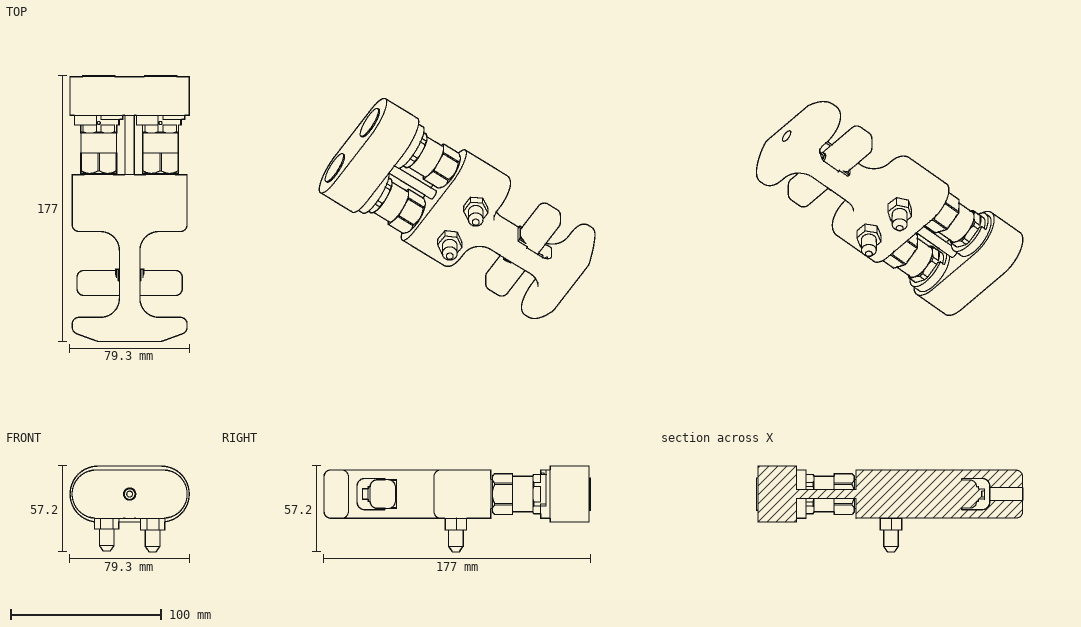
import cadquery as cq
import math

LENGTH = 177.0
TOTAL_HEIGHT = 57.2

BLOCK_WIDTH = 79.3
BLOCK_HEIGHT = 37.4
BLOCK_FRONT = 150.3
BLOCK_BACK = 176.2
CAP_RADIUS = 10.8

COUPLING_OFFSET = 20.5
COLLAR_RADIUS = 16.1
COLLAR_FRONT = 144.0
GROOVE_BACK = 147.7
GROOVE_END_ANGLE = -30.0
KEYWAY_WIDTH = 3.2
BALL_RADIUS = 1.0
BALL_Y = 145.3
HEX_FLATS = 24.0
HEX_CORNER_ANGLE = 30.0
LOCK_HEX_RADIUS = 13.1
LOCK_HEX_CHAMFER = 0.7
SLEEVE_BACK = 138.8
SLEEVE_RADIUS = 11.9
NUT_BACK = 125.3
NUT_FRONT = 111.9
NUT_RADIUS = 13.6
NUT_CHAMFER = 1.6
NECK_RADIUS = 9.7
ROD_RADIUS = 3.2

BODY_WIDTH = 76.5
BODY_HEIGHT = 32.2
BODY_BACK = 111.0
BODY_FRONT = 73.1
WEB_THICKNESS = 13.8
WEB_CORNER_RADIUS = 12.4
HANDLE_BACK = 16.3
HANDLE_FLAT_WIDTH = 41.6
HANDLE_TAPER = 20.0
HANDLE_CORNER_RADIUS = 5.3
EDGE_FILLET = 4.6
SCREW_HOLE_RADIUS = 4.0

WINDOW_FRONT = 22.1
WINDOW_BACK = 40.5
WINDOW_HEIGHT = 20.5
WINDOW_CORNER_RADIUS = 4.8

BAR_WIDTH = 70.1
BAR_HEIGHT = 19.1
BAR_FRONT = 30.6
BAR_BACK = 47.5
BAR_FILLET = 4.8
CHEEK_GAP = 14.9
CHEEK_WIDTH = 19.1
CHEEK_BACK = 48.2
CHEEK_CHAMFER = 0.7
SCREW_COLLAR_RADIUS = 5.0
SCREW_COLLAR_FRONT = 29.4
SCREW_RADIUS = 3.5
SCREW_FRONT = 25.5
SOCKET_RADIUS = 2.0
SOCKET_DEPTH = 1.8

FITTINGS = [(-15.2, 0.5, 0.0), (15.2, 0.0, 3.0)]
FITTING_Y = 87.6
FITTING_HEX_RADIUS = 8.1
FITTING_HEX_BOTTOM = -23.9
FITTING_STEM_RADIUS = 5.0
FITTING_CONE_TOP = -34.7
FITTING_TIP_RADIUS = 2.3
FITTING_TIP = BLOCK_HEIGHT / 2 - TOTAL_HEIGHT


def section(front, back, x=0.0):
    """Workplane facing -Y at `back`, with the depth to extrude to reach `front`."""
    return cq.Workplane("XZ", origin=(x, back, 0)), back - front


def cylinder(radius, front, back, x=0.0):
    plane, depth = section(front, back, x)
    return plane.circle(radius).extrude(depth)


def hexagon(flats, front, back, x=0.0):
    """Hexagonal prism along Y with two flats facing +X and -X."""
    corner_diameter = flats / math.cos(math.radians(HEX_CORNER_ANGLE))
    plane, depth = section(front, back, x)
    return plane.transformed(rotate=(0, 0, 90)).polygon(6, corner_diameter).extrude(depth)


def obround(width, height, front, back):
    plane, depth = section(front, back)
    return plane.slot2D(width, height).extrude(depth)


def box(width, height, front, back):
    plane, depth = section(front, back)
    return plane.rect(width, height).extrude(depth)


def make_collar(x):
    """Collar with a keyway on top, opening into a groove round its +X side."""
    collar = cylinder(COLLAR_RADIUS, COLLAR_FRONT, BLOCK_FRONT, x)

    reach = 2 * COLLAR_RADIUS
    end = math.radians(GROOVE_END_ANGLE)
    plane, depth = section(COLLAR_FRONT, GROOVE_BACK, x)
    sector = (
        plane.moveTo(0, 0)
        .lineTo(0, reach)
        .lineTo(reach, reach)
        .lineTo(reach, reach * math.tan(end))
        .close()
        .extrude(depth)
    )
    plane, depth = section(COLLAR_FRONT, BLOCK_FRONT, x)
    keyway = plane.center(0, reach / 2).rect(KEYWAY_WIDTH, reach).extrude(depth)
    core = cylinder(LOCK_HEX_RADIUS, COLLAR_FRONT, BLOCK_FRONT, x)
    ball = cq.Workplane("XY", origin=(x, BALL_Y, LOCK_HEX_RADIUS)).sphere(BALL_RADIUS)
    return collar.cut(sector.union(keyway)).union(core).union(ball)


def make_coupling(x):
    lock_rounding = cylinder(LOCK_HEX_RADIUS, SLEEVE_BACK, COLLAR_FRONT, x)
    lock_rounding = lock_rounding.faces("<Y").chamfer(LOCK_HEX_CHAMFER)
    lock_hex = hexagon(HEX_FLATS, SLEEVE_BACK, COLLAR_FRONT, x).intersect(lock_rounding)

    nut_rounding = cylinder(NUT_RADIUS, NUT_FRONT, NUT_BACK, x).faces("<Y").chamfer(NUT_CHAMFER)
    nut = hexagon(HEX_FLATS, NUT_FRONT, NUT_BACK, x).intersect(nut_rounding)

    return (
        cylinder(CAP_RADIUS, BLOCK_BACK, LENGTH, x)
        .union(make_collar(x))
        .union(lock_hex)
        .union(cylinder(SLEEVE_RADIUS, NUT_BACK, SLEEVE_BACK, x))
        .union(nut)
        .union(cylinder(NECK_RADIUS, BODY_BACK, NUT_FRONT, x))
    )


def make_window():
    plane = cq.Workplane("YZ", origin=(-WEB_THICKNESS, 0, 0))
    middle = (WINDOW_FRONT + WINDOW_BACK) / 2
    window = plane.center(middle, 0).rect(WINDOW_BACK - WINDOW_FRONT, WINDOW_HEIGHT)
    window = window.extrude(2 * WEB_THICKNESS)
    return window.faces("<Y").edges("|X").fillet(WINDOW_CORNER_RADIUS)


def make_body():
    half = BODY_WIDTH / 2
    web = WEB_THICKNESS / 2
    arc_end = web + WEB_CORNER_RADIUS
    flat = HANDLE_FLAT_WIDTH / 2
    tip_y = (half - flat) * math.tan(math.radians(HANDLE_TAPER))
    half_profile = (
        cq.Workplane("XY", origin=(0, 0, -BODY_HEIGHT / 2))
        .moveTo(0, 0)
        .lineTo(flat, 0)
        .lineTo(half, tip_y)
        .lineTo(half, HANDLE_BACK)
        .lineTo(arc_end, HANDLE_BACK)
        .radiusArc((web, HANDLE_BACK + WEB_CORNER_RADIUS), WEB_CORNER_RADIUS)
        .lineTo(web, BODY_FRONT - WEB_CORNER_RADIUS)
        .radiusArc((arc_end, BODY_FRONT), WEB_CORNER_RADIUS)
        .lineTo(half, BODY_FRONT)
        .lineTo(half, BODY_BACK)
        .lineTo(0, BODY_BACK)
        .close()
        .extrude(BODY_HEIGHT)
    )
    corner = cq.selectors.NearestToPointSelector((flat, 0, 0))
    half_profile = half_profile.edges(corner).fillet(HANDLE_CORNER_RADIUS)
    profile = half_profile.union(half_profile.mirror("YZ"))

    body = profile.intersect(obround(BODY_WIDTH, BODY_HEIGHT, 0, BODY_BACK))

    front_edges = cq.selectors.BoxSelector(
        (-BODY_WIDTH, -EDGE_FILLET, -BODY_HEIGHT),
        (BODY_WIDTH, BODY_FRONT + EDGE_FILLET, BODY_HEIGHT),
    )
    upright_edges = cq.selectors.ParallelDirSelector(cq.Vector(0, 0, 1))
    body = body.edges(front_edges - upright_edges).fillet(EDGE_FILLET)
    return body.cut(make_window()).cut(cylinder(SCREW_HOLE_RADIUS, 0, WINDOW_FRONT))


def make_crossbar():
    bar = box(BAR_WIDTH, BAR_HEIGHT, BAR_FRONT, BAR_BACK).edges().fillet(BAR_FILLET)
    cheeks = box(CHEEK_WIDTH, BAR_HEIGHT, WINDOW_BACK, CHEEK_BACK).edges("|Y").chamfer(CHEEK_CHAMFER)
    web_slot = box(CHEEK_GAP, 2 * BAR_HEIGHT, WINDOW_BACK, LENGTH)
    socket = cylinder(SOCKET_RADIUS, SCREW_FRONT, SCREW_FRONT + SOCKET_DEPTH)
    return (
        bar.union(cheeks)
        .cut(web_slot)
        .union(cylinder(SCREW_COLLAR_RADIUS, SCREW_COLLAR_FRONT, BAR_FRONT))
        .union(cylinder(SCREW_RADIUS, SCREW_FRONT, SCREW_COLLAR_FRONT))
        .cut(socket)
    )


def make_fitting(x, rise, turn):
    half_outline = [
        (0, 0),
        (FITTING_STEM_RADIUS, 0),
        (FITTING_STEM_RADIUS, FITTING_CONE_TOP),
        (FITTING_TIP_RADIUS, FITTING_TIP),
        (0, FITTING_TIP),
    ]
    stem = cq.Workplane("XZ").polyline(half_outline).close().revolve(360, (0, 0), (0, 1))
    hexagon_head = cq.Workplane("XY").polygon(6, 2 * FITTING_HEX_RADIUS).extrude(FITTING_HEX_BOTTOM)
    fitting = stem.union(hexagon_head).rotate((0, 0, 0), (0, 0, 1), turn)
    return fitting.translate((x, FITTING_Y, rise))


result = obround(BLOCK_WIDTH, BLOCK_HEIGHT, BLOCK_FRONT, BLOCK_BACK)
for side in (-1, 1):
    result = result.union(make_coupling(side * COUPLING_OFFSET))
result = (
    result.union(make_body())
    .union(cylinder(ROD_RADIUS, BODY_BACK, BLOCK_FRONT))
    .union(make_crossbar())
)
for x, rise, turn in FITTINGS:
    result = result.union(make_fitting(x, rise, turn))